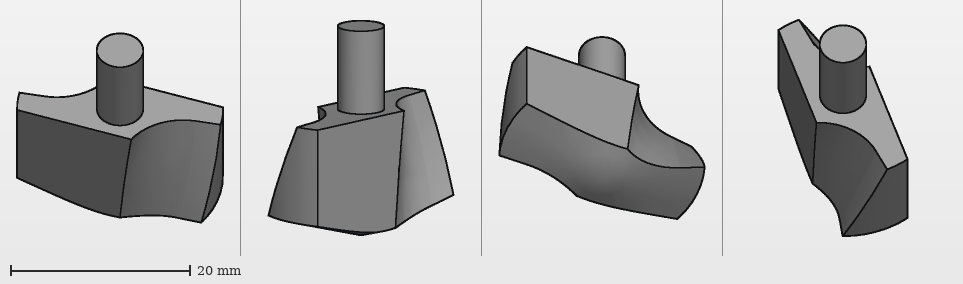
import cadquery as cq
import math

head_diameter = 23.0
head_thickness = 8.07
head_height = 14.5
total_height = 24.0
shank_diameter = 5.2
tip_slope = 0.3

twist_per_mm = 2.32
lip_inner_x = 8.6
lip_inner_y = 1.03
lip_angle = 8.0
flute_radius = 7.1
flute_overshoot = 1.5

head_radius = head_diameter / 2
tip_height = head_radius * tip_slope
shank_length = total_height - head_height


def make_blank():
    """Pointed round body with two parallel flats."""
    round_body = (
        cq.Workplane("XZ")
        .moveTo(0, 0)
        .lineTo(head_radius, tip_height)
        .lineTo(head_radius, head_height)
        .lineTo(0, head_height)
        .close()
        .revolve(360, (0, 0), (0, 1))
    )
    slab = cq.Workplane("XY").box(
        head_diameter, head_thickness, head_height, centered=(True, True, False)
    )
    return round_body.intersect(slab)


def make_flute_cutter():
    """Twisted flute volume whose section at the top face is the one described above."""
    lip = math.radians(lip_angle)
    center_x = lip_inner_x + flute_radius * math.sin(lip)
    center_y = lip_inner_y - flute_radius * math.cos(lip)

    def on_arc(angle):
        return (center_x + flute_radius * math.cos(angle), center_y + flute_radius * math.sin(angle))

    outer_x = head_radius + flute_overshoot
    outer_y = lip_inner_y + (outer_x - lip_inner_x) * math.tan(lip)
    bottom_y = -head_thickness / 2 - flute_overshoot
    arc_start = math.pi / 2 + lip
    arc_end = math.pi - math.asin((bottom_y - center_y) / flute_radius)

    total_twist = twist_per_mm * head_height
    section_at_tip = (
        cq.Workplane("XY")
        .transformed(rotate=(0, 0, -total_twist))
        .moveTo(outer_x, outer_y)
        .lineTo(lip_inner_x, lip_inner_y)
        .threePointArc(on_arc((arc_start + arc_end) / 2), on_arc(arc_end))
        .lineTo(outer_x, bottom_y)
        .close()
    )
    return section_at_tip.twistExtrude(head_height, total_twist)


def make_shank():
    return cq.Workplane("XY").workplane(offset=head_height).circle(shank_diameter / 2).extrude(shank_length)


flute_cutter = make_flute_cutter()
head = make_blank()
for flute_angle in (0, 180):
    head = head.cut(flute_cutter.rotate((0, 0, 0), (0, 0, 1), flute_angle))

result = head.union(make_shank())